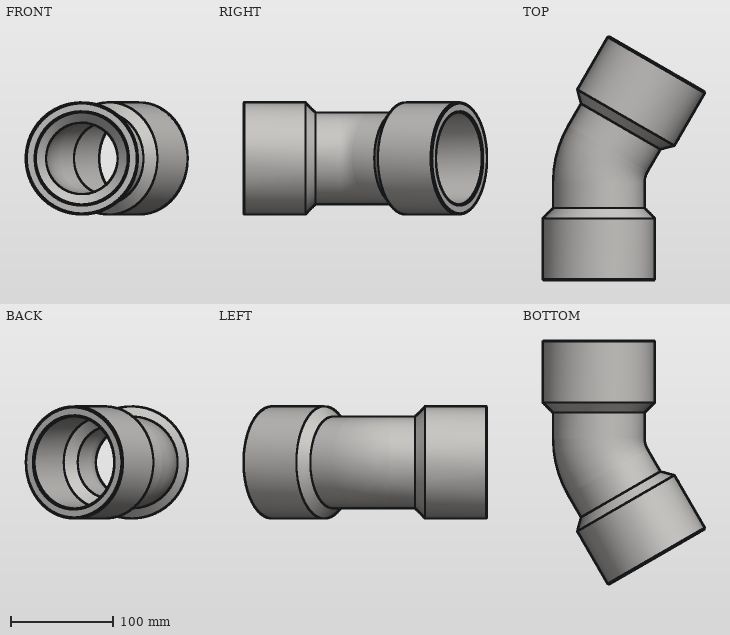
import cadquery as cq

socket_diameter = 110.0
pipe_diameter = 90.0
bore_diameter = 70.0
socket_length = 60.6
socket_depth = 58.3
pipe_length = 25.3
bend_radius = 65.5
bend_angle = 30.0
rim_chamfer = 1.2

socket_radius = socket_diameter / 2
pipe_radius = pipe_diameter / 2
bore_radius = bore_diameter / 2
cone_length = socket_radius - pipe_radius
cone_end = socket_length + cone_length
bore_cone_end = socket_depth + cone_length
leg_length = cone_end + pipe_length


def make_leg():
    """Hollow straight leg along +Y, with its socket mouth at Y = 0."""
    profile = [
        (pipe_radius + rim_chamfer, 0),
        (socket_radius - rim_chamfer, 0),
        (socket_radius, rim_chamfer),
        (socket_radius, socket_length),
        (pipe_radius, cone_end),
        (pipe_radius, leg_length),
        (bore_radius, leg_length),
        (bore_radius, bore_cone_end),
        (pipe_radius, socket_depth),
        (pipe_radius, rim_chamfer),
    ]
    return cq.Workplane("XY").polyline(profile).close().revolve(360, (0, 0), (0, 1))


def make_bend():
    """Hollow elbow that starts at the end of the first leg and turns toward +X."""
    return (
        cq.Workplane("XZ", origin=(0, leg_length, 0))
        .circle(pipe_radius)
        .circle(bore_radius)
        .revolve(bend_angle, (bend_radius, 0), (bend_radius, -1))
    )


lower_leg = make_leg()

upper_leg = (
    lower_leg.mirror("XZ", (0, leg_length, 0))
    .rotate((bend_radius, leg_length, 0), (bend_radius, leg_length, 1), -bend_angle)
)

result = lower_leg.union(make_bend()).union(upper_leg)